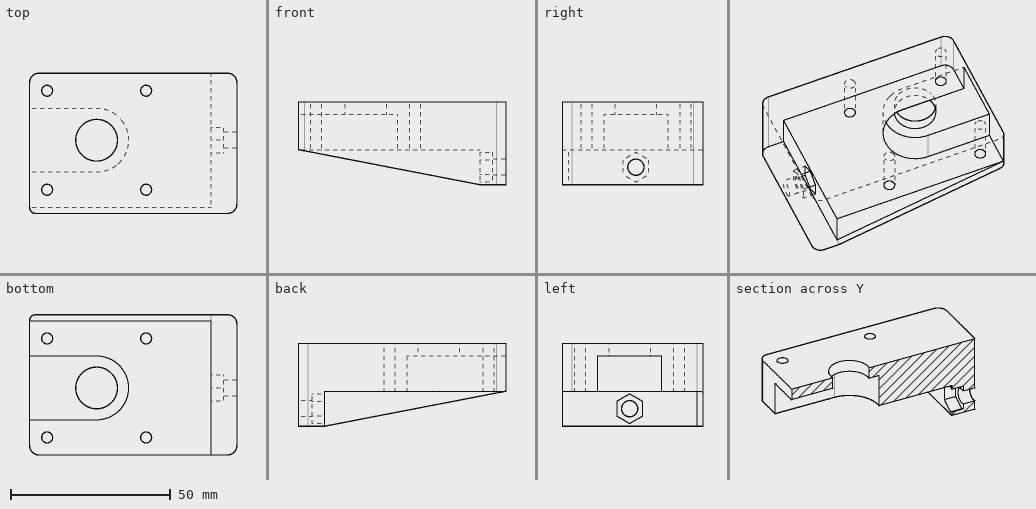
import cadquery as cq
import math

length = 65.0
width = 44.0
height = 26.0

block_depth = 15.0
block_bottom = height - block_depth
side_plate = 1.95
bay_width = width - side_plate
bay_length = 56.8

corner_radius = 3.0
plate_corner_radius = side_plate

axis_x = bay_width / 2
axis_y = side_plate + bay_width / 2
shaft_diameter = 13.0
screw_diameter = 3.4
screw_spacing = 31.0

slot_width = 20.0
roof_thickness = 3.95

bolt_diameter = 5.0
bolt_z = 5.5
nut_across_flats = 8.05
nut_depth = 4.0


def make_body():
    """Side profile with a sloping lower edge, rounded at its vertical corners."""
    profile = [
        (0, height),
        (0, block_bottom),
        (bay_length, 0),
        (length, 0),
        (length, height),
    ]
    body = cq.Workplane("XZ").polyline(profile).close().extrude(-width)
    body = body.edges("|Z and (>X or >Y)").fillet(corner_radius)
    return body.edges("|Z and <X and <Y").fillet(plate_corner_radius)


def make_bay():
    """Space under the block, bounded by the side plate and the end wall."""
    corner = cq.Workplane("XY", origin=(0, side_plate, 0))
    return corner.box(bay_length, bay_width, block_bottom, centered=False)


def make_slot():
    """Slot from the -X end to a half-round end about the shaft axis."""
    slot_top = height - roof_thickness
    straight = (
        cq.Workplane("XY")
        .center(axis_x / 2, axis_y)
        .rect(axis_x, slot_width)
        .extrude(slot_top)
    )
    round_end = cq.Workplane("XY").center(axis_x, axis_y).circle(slot_width / 2).extrude(slot_top)
    return straight.union(round_end)


def make_motor_holes():
    """Shaft hole and four screw holes through the top block."""
    pattern = cq.Workplane("XY", origin=(axis_x, axis_y, block_bottom))
    shaft = pattern.circle(shaft_diameter / 2).extrude(block_depth)
    screws = (
        pattern.rect(screw_spacing, screw_spacing, forConstruction=True)
        .vertices()
        .circle(screw_diameter / 2)
        .extrude(block_depth)
    )
    return shaft.union(screws)


def make_bolt_hole():
    """Bolt hole through the end wall, and its nut pocket with corners up and down."""
    wall = cq.Workplane("YZ", origin=(bay_length, axis_y, bolt_z))
    bolt = wall.circle(bolt_diameter / 2).extrude(length - bay_length)
    nut_radius = nut_across_flats / math.sqrt(3)
    corner_angles = [math.radians(90 + 60 * i) for i in range(6)]
    corners = [(nut_radius * math.cos(a), nut_radius * math.sin(a)) for a in corner_angles]
    nut = wall.polyline(corners).close().extrude(nut_depth)
    return bolt.union(nut)


result = (
    make_body()
    .cut(make_bay())
    .cut(make_slot())
    .cut(make_motor_holes())
    .cut(make_bolt_hole())
)